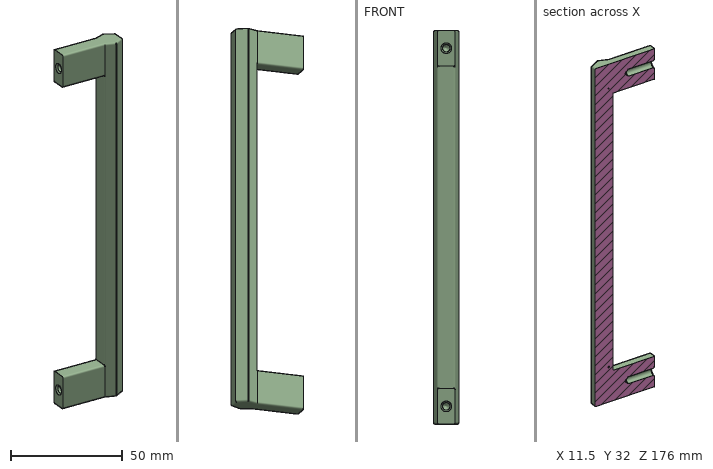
import cadquery as cq

length = 176.0
depth = 32.0
grip_width = 11.5

grip_depth = 10.0
front_flat_width = 6.0
widest_setback = 5.1
side_flat = 0.5

leg_width = 8.0
leg_height = 16.0

edge_radius = 0.9

hole_diameter = 3.3
hole_mouth_diameter = 4.8
hole_depth = 14.0

half_length = length / 2
leg_center = half_length - leg_height / 2
leg_inner = half_length - leg_height
grip_back = depth - grip_depth
widest = depth - widest_setback
margin = 0.2


def make_grip():
    """Six-sided bar with narrow flats along its widest part."""
    half_section = [
        (front_flat_width / 2, depth),
        (grip_width / 2, widest + side_flat / 2),
        (grip_width / 2, widest - side_flat / 2),
        (leg_width / 2, grip_back),
    ]
    mirrored = [(-x, y) for x, y in reversed(half_section)]
    return (
        cq.Workplane("XY")
        .workplane(offset=-half_length)
        .polyline(half_section + mirrored)
        .close()
        .extrude(length)
    )


def make_leg(center_z):
    """Rectangular leg from the mounting face at Y = 0 to the back of the grip."""
    return (
        cq.Workplane("XY")
        .box(leg_width, grip_back, leg_height)
        .translate((0, grip_back / 2, center_z))
    )


def round_edges(body):
    """Round both ends, the inner leg edges and the grip's back edges between the legs."""
    between_legs = cq.selectors.BoxSelector(
        (-leg_width, -margin, -leg_inner - margin),
        (leg_width, grip_back + margin, leg_inner + margin),
    )
    body = body.faces("<Z or >Z").edges("not <Y").fillet(edge_radius)
    inner_leg_edges = body.edges("|Y").edges(between_legs)
    grip_back_edges = body.edges("|Z").edges(between_legs)
    return inner_leg_edges.add(grip_back_edges).fillet(edge_radius)


def make_screw_hole(center_z):
    """Countersunk blind hole with a conical bottom, as a solid of revolution about Y."""
    hole_radius = hole_diameter / 2
    mouth_radius = hole_mouth_diameter / 2
    countersink_depth = mouth_radius - hole_radius
    return (
        cq.Workplane("XY")
        .polyline([
            (0, 0),
            (mouth_radius, 0),
            (hole_radius, countersink_depth),
            (hole_radius, hole_depth),
            (0, hole_depth + hole_radius),
        ])
        .close()
        .revolve(360, (0, 0, 0), (0, 1, 0))
        .translate((0, 0, center_z))
    )


result = make_grip()
for center_z in (-leg_center, leg_center):
    result = result.union(make_leg(center_z))
result = round_edges(result)
for center_z in (-leg_center, leg_center):
    result = result.cut(make_screw_hole(center_z))